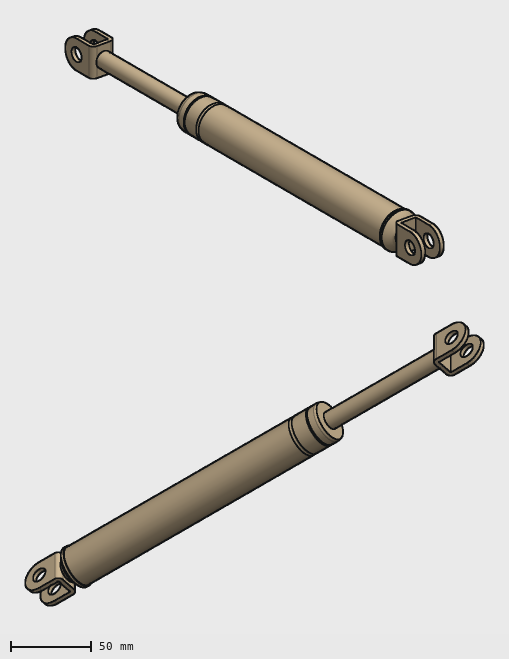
import cadquery as cq

length = 352.0
left_end = -length / 2
right_end = length / 2

fork_height = 22.5
fork_width = 18.0
fork_thickness = 3.0
fork_length = 27.0
fork_bend_radius = 3.5
eye_radius = fork_height / 2
eye_hole_diameter = 10.0

rod_diameter = 12.0
rod_length = 88.7

tube_radius = 13.55
tube_start = left_end + fork_length + rod_length
tube_end = left_end + 317.0
lip_length = 2.0
lip_end_radius = 13.0
narrow_groove_offset = 7.0
narrow_groove_width = 1.0
wide_groove_offset = 19.5
wide_groove_width = 2.5
groove_depth = 0.5

rim_radius = 14.0
rim_width = 2.0
neck_radius = 7.7
neck_end = right_end - fork_length
shoulder_start = tube_end + rim_width
shoulder_length = 2.5
shoulder_end = shoulder_start + shoulder_length
shoulder_end_radius = 11.0


def make_fork():
    """U-shaped fork with its eye tips at X = 0 and its web at X = fork_length."""
    body = (
        cq.Workplane("XY")
        .box(fork_length, fork_width, fork_height, centered=(False, True, True))
        .edges("|Z and >X")
        .fillet(fork_bend_radius)
    )
    gap = cq.Workplane("XY").box(
        fork_length - fork_thickness,
        fork_width - 2 * fork_thickness,
        fork_height,
        centered=(False, True, True),
    )
    outline = (
        cq.Workplane("XZ")
        .moveTo(eye_radius, eye_radius)
        .lineTo(fork_length, eye_radius)
        .lineTo(fork_length, -eye_radius)
        .lineTo(eye_radius, -eye_radius)
        .threePointArc((0, 0), (eye_radius, eye_radius))
        .close()
        .extrude(fork_width / 2, both=True)
    )
    eye_hole = (
        cq.Workplane("XZ")
        .center(eye_radius, 0)
        .circle(eye_hole_diameter / 2)
        .extrude(fork_width / 2, both=True)
    )
    return body.cut(gap).intersect(outline).cut(eye_hole)


def make_rod():
    """Piston rod with the left fork; it ends at the face of the cylinder."""
    fork = make_fork().translate((left_end, 0, 0))
    shaft = (
        cq.Workplane("YZ", origin=(left_end + fork_length, 0, 0))
        .circle(rod_diameter / 2)
        .extrude(rod_length)
    )
    return fork.union(shaft)


def make_groove(offset, width):
    """Ring that cuts a rounded groove, of the given width, into the tube."""
    start = tube_start + offset
    return (
        cq.Workplane("XY")
        .moveTo(start, tube_radius)
        .threePointArc((start + width / 2, tube_radius - groove_depth), (start + width, tube_radius))
        .close()
        .revolve(360, (0, 0, 0), (1, 0, 0))
    )


def make_cylinder():
    """Tube with its tapered lip, grooves, end cap and right fork."""
    barrel = (
        cq.Workplane("XY")
        .moveTo(tube_start, 0)
        .lineTo(tube_start, lip_end_radius)
        .lineTo(tube_start + lip_length, tube_radius)
        .lineTo(tube_end, tube_radius)
        .lineTo(tube_end, rim_radius)
        .lineTo(shoulder_start, rim_radius)
        .spline(
            [(shoulder_end, shoulder_end_radius), (neck_end, neck_radius)],
            tangents=[(1, -1), (1, 0)],
            includeCurrent=True,
        )
        .lineTo(neck_end, 0)
        .close()
        .revolve(360, (0, 0, 0), (1, 0, 0))
    )
    barrel = barrel.cut(make_groove(narrow_groove_offset, narrow_groove_width))
    barrel = barrel.cut(make_groove(wide_groove_offset, wide_groove_width))
    fork = make_fork().rotate((0, 0, 0), (0, 0, 1), 180).translate((right_end, 0, 0))
    return barrel.union(fork)


rod = make_rod()
cylinder = make_cylinder()

result = cq.Compound.makeCompound([rod.val(), cylinder.val()])